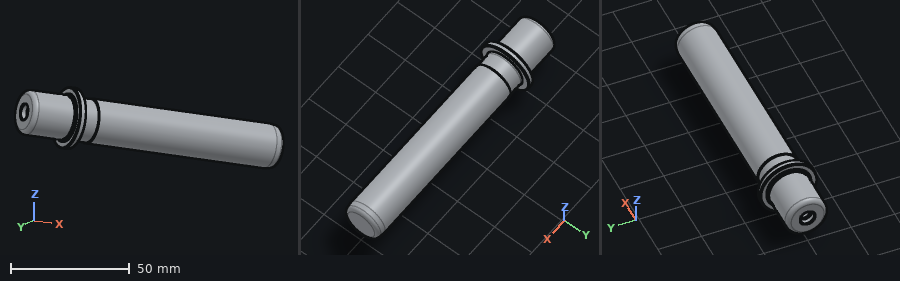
import cadquery as cq
import math

length = 120.0
half_length = length / 2
flange_start = 19.9
flange_width = 3.0
neck_end = 31.0
tail_taper_length = 4.2

body_radius = 9.6
neck_radius = 9.3
flange_radius = 13.02

end_round = 2.0
tail_taper_angle = 8.0
flange_chamfer = 0.4
shoulder_chamfer = 0.2
groove_width = 1.0
groove_depth = 0.6
face_relief_radius = 10.3
face_relief_inner_radius = 9.7
face_relief_depth = 0.2
flange_root_length = 1.0
flange_root_radius = 9.6

bore_radius = 3.2
bore_depth = 2.9
mouth_chamfer = 0.4
pilot_radius = 2.2
pilot_depth = 9.6
drill_point_angle = 118.0


def turned_body():
    """Revolve the outer profile around the X axis."""
    flange_end = flange_start + flange_width
    groove_start = flange_start - groove_width
    groove_radius = body_radius - groove_depth
    tail_taper_start = length - tail_taper_length
    arc_offset = end_round * (1 - math.sqrt(0.5))

    taper = math.radians(tail_taper_angle)
    tail_round_x = length - end_round
    tail_taper_rise = (tail_round_x - tail_taper_start) * math.tan(taper)
    tail_round_r = body_radius - tail_taper_rise - end_round / math.cos(taper)

    def tail_round_point(angle):
        return (
            tail_round_x + end_round * math.cos(angle),
            tail_round_r + end_round * math.sin(angle),
        )

    taper_normal = math.pi / 2 - taper
    profile = (
        cq.Workplane("XY")
        .moveTo(0, 0)
        .lineTo(0, body_radius - end_round)
        .threePointArc((arc_offset, body_radius - arc_offset), (end_round, body_radius))
        .lineTo(groove_start, body_radius)
        .lineTo(groove_start + groove_depth, groove_radius)
        .lineTo(flange_start + face_relief_depth, groove_radius)
        .lineTo(flange_start + face_relief_depth, face_relief_inner_radius)
        .lineTo(flange_start, face_relief_radius)
        .lineTo(flange_start, flange_radius - flange_chamfer)
        .lineTo(flange_start + flange_chamfer, flange_radius)
        .lineTo(flange_end - flange_chamfer, flange_radius)
        .lineTo(flange_end, flange_radius - flange_chamfer)
        .lineTo(flange_end, flange_root_radius)
        .lineTo(flange_end + flange_root_length, neck_radius)
        .lineTo(neck_end - shoulder_chamfer, neck_radius)
        .lineTo(neck_end, body_radius)
        .lineTo(tail_taper_start, body_radius)
        .lineTo(*tail_round_point(taper_normal))
        .threePointArc(tail_round_point(taper_normal / 2), tail_round_point(0))
        .lineTo(length, 0)
        .close()
    )
    return profile.revolve(360, (0, 0, 0), (1, 0, 0))


def centre_hole():
    """Chamfered bore and a narrower pilot hole with a conical bottom."""
    point_depth = pilot_radius / math.tan(math.radians(drill_point_angle / 2))
    return (
        cq.Workplane("XY")
        .moveTo(0, 0)
        .lineTo(0, bore_radius + mouth_chamfer)
        .lineTo(mouth_chamfer, bore_radius)
        .lineTo(bore_depth, bore_radius)
        .lineTo(bore_depth, pilot_radius)
        .lineTo(pilot_depth, pilot_radius)
        .lineTo(pilot_depth + point_depth, 0)
        .close()
        .revolve(360, (0, 0, 0), (1, 0, 0))
    )


result = turned_body().cut(centre_hole()).translate((-half_length, 0, 0))